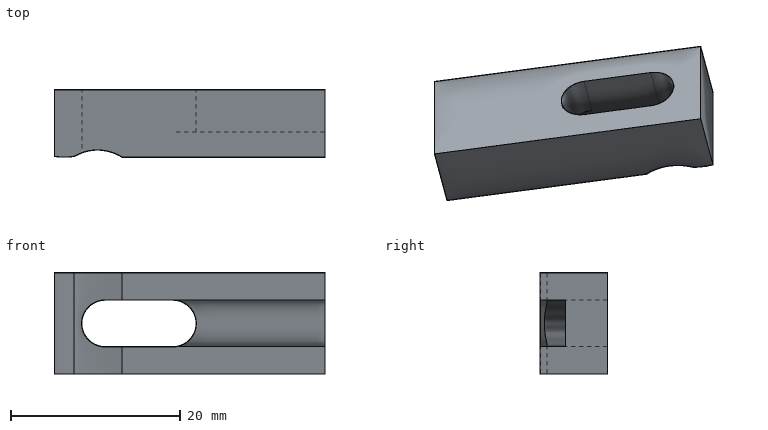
import cadquery as cq

length = 32.0
thickness = 8.0
height = 12.0

nose_width = 2.35
nose_crown = 0.1
relief_end = 8.02
relief_apex_x = 5.15
relief_depth = 0.85

slot_width = 5.5
slot_travel = 8.0
slot_start = 3.25
groove_depth = 3.0

slot_near_center = slot_start + slot_width / 2
slot_far_center = slot_near_center + slot_travel
slot_middle = (slot_near_center + slot_far_center) / 2


def make_body():
    """Extrude the XY side profile, with its nose and relief arcs, over the full height."""
    return (
        cq.Workplane("XY")
        .workplane(offset=-height / 2)
        .moveTo(0, thickness)
        .lineTo(0, nose_crown)
        .threePointArc((nose_width / 2, 0), (nose_width, nose_crown))
        .threePointArc((relief_apex_x, relief_depth), (relief_end, 0))
        .lineTo(length, 0)
        .lineTo(length, thickness)
        .close()
        .extrude(height)
    )


def make_bolt_slot():
    """Round-ended slot along X that passes through the thickness."""
    return (
        cq.Workplane("XZ")
        .center(slot_middle, 0)
        .slot2D(slot_travel + slot_width, slot_width)
        .extrude(-thickness)
    )


def make_end_groove():
    """Flat-bottomed groove, as wide as the slot, open at the +X end and on the working face."""
    groove_length = length - slot_far_center
    return (
        cq.Workplane("XY")
        .box(groove_length, groove_depth, slot_width, centered=(False, False, True))
        .translate((slot_far_center, 0, 0))
    )


result = make_body().cut(make_bolt_slot()).cut(make_end_groove())